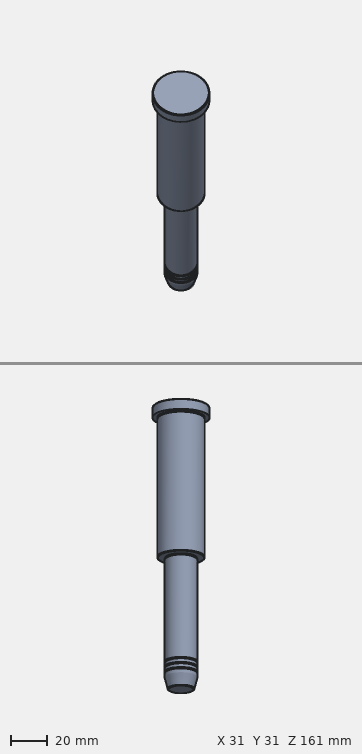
import cadquery as cq
import math

total_length = 161.0
head_thickness = 6.0
body_bottom = 75.0
taper_length = 7.0

head_diameter = 31.0
body_diameter = 26.0
shank_diameter = 18.0

head_chamfer = 0.56
body_chamfer = 0.5
tip_chamfer = 0.5
taper_angle = 15.0
relief_width = 1.0
relief_depth = 0.5

tip_groove_count = 3
groove_width = 1.0
groove_depth = 0.5
tip_groove_pitch = 2.9
first_tip_groove_center = 9.5


def cylinder(diameter, bottom, top):
    """Solid cylinder on the Z axis between two heights."""
    return cq.Workplane("XY").workplane(offset=bottom).circle(diameter / 2).extrude(top - bottom)


def ring_cut(diameter, depth, bottom, width):
    """Ring that cuts a square groove of the given depth into a cylinder."""
    return cylinder(diameter, bottom, bottom + width).cut(
        cylinder(diameter - 2 * depth, bottom, bottom + width)
    )


def v_groove_cut(diameter, center):
    """Ring with a triangular section that cuts a V groove into a cylinder."""
    outer_radius = diameter / 2
    section = [
        (outer_radius, center - groove_width / 2),
        (outer_radius - groove_depth, center),
        (outer_radius, center + groove_width / 2),
    ]
    return cq.Workplane("XZ").polyline(section).close().revolve(360, (0, 0), (0, 1))


def make_head():
    head = cylinder(head_diameter, total_length - head_thickness, total_length)
    return head.faces(">Z").edges().chamfer(head_chamfer)


def make_body():
    """Thick guide section with a V groove directly under the head."""
    top = total_length - head_thickness
    body = cylinder(body_diameter, body_bottom, top)
    body = body.faces("<Z").edges().chamfer(body_chamfer)
    return body.cut(v_groove_cut(body_diameter, top - groove_width / 2))


def make_tip():
    """Tapered lead-in with a chamfered end."""
    end_diameter = shank_diameter - 2 * taper_length * math.tan(math.radians(taper_angle))
    tip = (
        cq.Workplane("XY")
        .circle(end_diameter / 2)
        .workplane(offset=taper_length)
        .circle(shank_diameter / 2)
        .loft(ruled=True)
    )
    return tip.faces("<Z").edges().chamfer(tip_chamfer)


def make_shank():
    """Slim section with a relief below the body and V grooves near the tip."""
    shank = cylinder(shank_diameter, taper_length, body_bottom)
    shank = shank.cut(ring_cut(shank_diameter, relief_depth, body_bottom - relief_width, relief_width))
    for index in range(tip_groove_count):
        shank = shank.cut(v_groove_cut(shank_diameter, first_tip_groove_center + index * tip_groove_pitch))
    return shank


result = make_head().union(make_body()).union(make_shank()).union(make_tip())